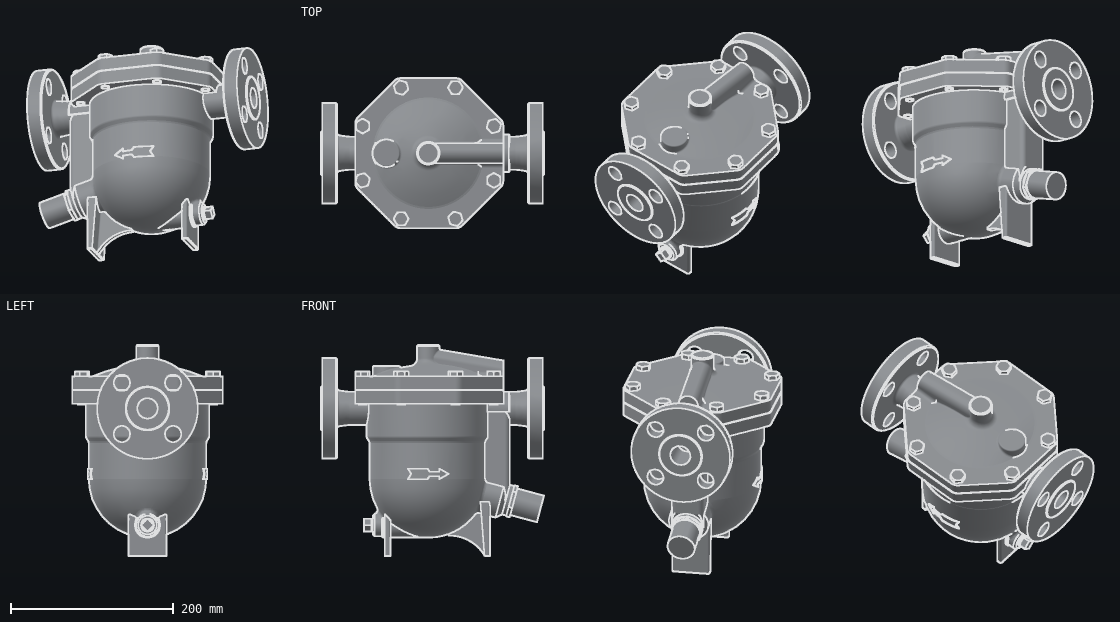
import cadquery as cq
import math


inlet_face_x = -132.0
outlet_face_x = 142.4
top_z = 78.0
foot_z = -182.0

overlap = 1.0

flange_diameter = 124.0
flange_back = 20.0
flange_edge_chamfer = 1.5
raised_face_diameter = 54.0
raised_face_height = 1.4
raised_face_chamfer = 1.0
flange_bolt_circle = 89.0
flange_bolt_hole = 20.0
flange_bolt_count = 4
neck_diameter = 41.0
neck_large_diameter = 44.0
neck_fillet = 3.4
neck_taper_end = 35.0
neck_inner_x = 60.0
bore_diameter = 25.0
bore_depth = 45.0

octagon_apothem = 92.5
inlet_side_apothem = 90.0
octagon_corner_radius = 12.0
lid_top_z = 39.5
joint_z = 22.8
joint_gap = 0.6
joint_inset = 0.4
rim_bottom_z = 5.6

bolt_circle = 174.6
bolt_count = 8
bolt_first_angle = 67.5
bolt_head_across_flats = 16.0
bolt_head_height = 6.0
bolt_head_chamfer = 0.8
bolt_end_diameter = 10.0
bolt_end_length = 1.0

dome_radius = 166.0
dome_edge_radius = 68.5
dome_meet_radius = 67.3
dome_centre_z = lid_top_z - math.sqrt(dome_radius**2 - dome_meet_radius**2)
chimney_diameter = 28.0
blend_margin = 4.0
chimney_fillet = 9.0
chimney_chamfer = 1.5

arm_diameter = 25.0
arm_slope = 9.7
arm_start_z = 62.1
arm_root_fillet = 2.0
arm_foot_radius = 5.7

plug_x = -51.5
plug_diameter = 34.0
plug_top_z = 52.2
plug_edge_fillet = 2.0
plug_foot_fillet = 2.5

upper_radius = 76.0
lower_radius = 72.5
step_top_z = -35.4
step_bottom_z = -41.3
step_fillet = 4.5
sphere_z = -86.5

channel_width = 40.0
channel_x = 100.4
channel_edge_radius = 6.2
channel_crown_width = 46.4
channel_crown_bottom_z = -4.0
channel_crown_chamfer = 1.5

tube_end_x = 138.0
tube_end_z = -123.6
tube_slope = 15.0
tube_diameter = 34.0
boss_diameter = 49.4
boss_end = 50.8
boss_taper_end = 44.0
boss_neck_diameter = 38.0
boss_root_fillet = 5.0
nut_back = 38.5
nut_front = 34.0
nut_across_corners = 40.0
nut_turn = 23.0
tube_length = 85.0

drain_z = -143.4
drain_pipe_diameter = 31.0
drain_pipe_x = -57.0
drain_pipe_chamfer = 1.4
drain_fillet = 5.0
drain_cap_diameter = 28.0
drain_cap_x = -68.2
drain_cap_chamfer = 2.5
plug_collar_diameter = 16.0
plug_collar_x = -70.0
square_diagonal = 16.0
square_end_x = -79.0

foot_width = 47.0
foot_edge_fillet = 2.5
foot_bottom_chamfer = 1.0
inlet_foot_outer_x = -53.7
inlet_foot_inner_x = -46.2
inlet_foot_top_z = -120.0
outlet_foot_outer_x = 76.0
outlet_foot_bottom_x = 69.2
outlet_foot_top_x = 64.0
outlet_foot_top_z = -115.0
rib_fillet = 2.0
rib_thickness = 8.0
rib_start_x = 25.0
rib_start_z = -156.5
rib_arc_radius = 50.0

arrow_height = 1.0
arrow_z = -80.5
arrow_tail_x = -25.0
arrow_notch = 4.0
arrow_tail_end_x = -1.0
arrow_tail_taper = 2.7
arrow_head_x = 13.5
arrow_tip_x = 25.0
arrow_half_width = 6.5
arrow_shaft_half_width = 2.8


def x_cylinder(diameter, start_x, end_x, z=0.0):
    """Round bar along X between two X positions."""
    return (cq.Workplane("YZ", origin=(start_x, 0, z)).circle(diameter / 2)
            .extrude(end_x - start_x))


def revolve_about_z(profile):
    """Turn an XZ profile about the vessel centreline."""
    return profile.close().revolve(360, (0, 0, 0), (0, 1, 0))


def edges_in_box(solid, first, second, half_depth=2 * upper_radius):
    """Edges whose centres lie in a box given by two XZ corners and a half depth along Y."""
    return solid.edges(cq.selectors.BoxSelector((first[0], -half_depth, first[1]),
                                                (second[0], half_depth, second[1])))


def make_vessel():
    """Stepped cylinder closed by a hemisphere."""
    bottom_z = sphere_z - lower_radius
    diagonal = lower_radius * math.sin(math.radians(45))
    profile = (cq.Workplane("XZ").moveTo(0, rim_bottom_z + overlap)
               .lineTo(upper_radius, rim_bottom_z + overlap)
               .lineTo(upper_radius, step_top_z)
               .lineTo(lower_radius, step_bottom_z)
               .lineTo(lower_radius, sphere_z)
               .threePointArc((diagonal, sphere_z - diagonal), (0, bottom_z)))
    corners = edges_in_box(revolve_about_z(profile), (-overlap, step_top_z + overlap),
                           (overlap, step_bottom_z - overlap))
    return corners.filter(lambda edge: edge.geomType() == "CIRCLE").fillet(step_fillet)


def make_octagon(bottom_z, height, inset=0.0):
    """Rounded octagonal plate, cut back a little on the inlet side."""
    side = octagon_apothem - inset
    inlet_side = -(inlet_side_apothem - inset)
    corner = side * math.tan(math.radians(22.5))
    inlet_corner = side * math.sqrt(2) + inlet_side
    outline = [(side, -corner), (side, corner), (corner, side), (-corner, side),
               (inlet_side, inlet_corner), (inlet_side, -inlet_corner),
               (-corner, -side), (corner, -side)]
    return (cq.Workplane("XY", origin=(0, 0, bottom_z)).polyline(outline).close()
            .extrude(height).edges("|Z").fillet(octagon_corner_radius))


def make_rim():
    """Body rim and lid plate with the thin joint groove between them."""
    rim = make_octagon(rim_bottom_z, lid_top_z - rim_bottom_z)
    half_gap = joint_gap / 2
    groove = make_octagon(joint_z - half_gap, joint_gap)
    groove = groove.cut(make_octagon(joint_z - half_gap, joint_gap, joint_inset))
    return rim.cut(groove)


def make_dome():
    """Spherical cover, carried on below the lid surface, that blends into the chimney at its centre."""
    chimney_radius = chimney_diameter / 2
    base_z = lid_top_z - blend_margin
    base_radius = math.sqrt(dome_radius**2 - (base_z - dome_centre_z)**2)
    blend_x = chimney_radius + chimney_fillet
    blend_reach = dome_radius + chimney_fillet
    blend_z = dome_centre_z + math.sqrt(blend_reach**2 - blend_x**2)
    touch_x = blend_x * dome_radius / blend_reach
    touch_z = dome_centre_z + (blend_z - dome_centre_z) * dome_radius / blend_reach
    blend_offset = chimney_fillet * math.sin(math.radians(45))
    blend_mid = (blend_x - blend_offset, blend_z - blend_offset)
    profile = (cq.Workplane("XZ").moveTo(0, base_z)
               .lineTo(base_radius, base_z)
               .threePointArc((dome_meet_radius, lid_top_z), (touch_x, touch_z))
               .threePointArc(blend_mid, (chimney_radius, blend_z))
               .lineTo(chimney_radius, top_z - chimney_chamfer)
               .lineTo(chimney_radius - chimney_chamfer, top_z)
               .lineTo(0, top_z))
    return revolve_about_z(profile)


def make_dome_skirt():
    """Narrow sloping ring between the dome and the flat lid."""
    inner_radius = 2 * dome_meet_radius - dome_edge_radius
    inner_z = dome_centre_z + math.sqrt(dome_radius**2 - inner_radius**2)
    profile = (cq.Workplane("XZ").moveTo(dome_edge_radius, lid_top_z)
               .lineTo(inner_radius, inner_z)
               .lineTo(inner_radius, joint_z + overlap)
               .lineTo(dome_edge_radius, joint_z + overlap))
    return revolve_about_z(profile)


def make_arm():
    """Sloping round-topped arm with straight walls down to the lid."""
    slope = math.radians(arm_slope)
    length = (octagon_apothem + arm_diameter) / math.cos(slope)
    axis = cq.Vector(math.cos(slope), 0, -math.sin(slope))
    tube = cq.Workplane(cq.Solid.makeCylinder(arm_diameter / 2, length, cq.Vector(0, 0, arm_start_z), axis))
    end_z = arm_start_z - octagon_apothem * math.tan(slope)
    walls = (cq.Workplane("XZ", origin=(0, arm_diameter / 2, 0))
             .polyline([(0, joint_z + overlap), (octagon_apothem, joint_z + overlap),
                        (octagon_apothem, end_z), (0, arm_start_z)]).close().extrude(arm_diameter))
    envelope = (cq.Workplane("XY", origin=(0, 0, joint_z + overlap))
                .rect(2 * octagon_apothem, 2 * arm_diameter).extrude(top_z))
    return tube.union(walls).intersect(envelope)


def make_arm_foot():
    """Concave strips that blend the arm walls into the flat lid outside the dome."""
    wall = arm_diameter / 2
    radius = arm_foot_radius
    drop = radius * (1 - math.sin(math.radians(45)))
    strips = cq.Workplane()
    start_x = dome_meet_radius - arm_foot_radius
    for side in (-1, 1):
        strip = (cq.Workplane("YZ", origin=(start_x, 0, 0))
                 .moveTo(0, lid_top_z - overlap)
                 .lineTo(side * (wall + radius), lid_top_z - overlap)
                 .lineTo(side * (wall + radius), lid_top_z)
                 .threePointArc((side * (wall + drop), lid_top_z + drop), (side * wall, lid_top_z + radius))
                 .lineTo(0, lid_top_z + radius).close().extrude(octagon_apothem - start_x))
        strips = strips.add(strip)
    return strips.combine()


def make_lid():
    """Dome, chimney, plug boss and arm, blended together."""
    dome = make_dome()
    plug = (cq.Workplane("XY", origin=(plug_x, 0, joint_z + overlap)).circle(plug_diameter / 2)
            .extrude(plug_top_z - joint_z - overlap).faces(">Z").edges().fillet(plug_edge_fillet))
    lid = dome.union(plug)
    plug_reach = plug_diameter / 2 + overlap
    plug_root = edges_in_box(lid, (plug_x - plug_reach, joint_z + 2 * overlap),
                             (plug_x + plug_reach, plug_top_z - plug_edge_fillet), plug_reach)
    lid = plug_root.fillet(plug_foot_fillet).union(make_arm())
    arm_roots = edges_in_box(lid, (chimney_diameter / 4, joint_z + 2 * overlap),
                             (octagon_apothem - overlap, top_z - arm_foot_radius), arm_diameter)
    lid = arm_roots.filter(lambda edge: edge.geomType() != "LINE").fillet(arm_root_fillet)
    above_lid = (cq.Workplane("XY", origin=(0, 0, joint_z + overlap))
                 .rect(2 * octagon_apothem, 2 * octagon_apothem).extrude(top_z))
    return lid.intersect(above_lid).union(make_dome_skirt()).union(make_arm_foot())


def make_bolts():
    """Hexagon heads above the lid and round bolt ends below the rim."""
    head_corner = bolt_head_across_flats / math.cos(math.radians(30))
    head = cq.Workplane("XY").polygon(6, head_corner).extrude(bolt_head_height)
    cone_tip = head_corner / 2 - bolt_head_chamfer
    crown = (cq.Workplane("XY").circle(cone_tip + bolt_head_height).workplane(offset=bolt_head_height)
             .circle(cone_tip).loft())
    head = head.intersect(crown).translate((bolt_circle / 2, 0, lid_top_z))
    head = head.rotate((bolt_circle / 2, 0, 0), (bolt_circle / 2, 0, 1), -bolt_first_angle)
    end = (cq.Workplane("XY", origin=(bolt_circle / 2, 0, rim_bottom_z - bolt_end_length))
           .circle(bolt_end_diameter / 2).extrude(bolt_end_length + overlap))
    bolts = cq.Workplane()
    for index in range(bolt_count):
        angle = bolt_first_angle + index * 360 / bolt_count
        bolts = bolts.add(head.rotate((0, 0, 0), (0, 0, 1), angle))
        bolts = bolts.add(end.rotate((0, 0, 0), (0, 0, 1), angle))
    return bolts


def make_flange(face_x, inward):
    """Welding-neck flange; inward is +1 or -1 along X."""
    def x_at(distance):
        return face_x + inward * distance

    edge = flange_diameter / 2
    face_edge = raised_face_diameter / 2
    neck_large = neck_large_diameter / 2
    neck = neck_diameter / 2
    neck_mid = neck_fillet * (1 - math.sin(math.radians(45)))
    taper_start = flange_back + neck_fillet
    profile = (cq.Workplane("XZ").moveTo(x_at(0), 0)
               .lineTo(x_at(0), face_edge - raised_face_chamfer)
               .lineTo(x_at(raised_face_chamfer), face_edge)
               .lineTo(x_at(raised_face_height), face_edge)
               .lineTo(x_at(raised_face_height), edge)
               .lineTo(x_at(flange_back - flange_edge_chamfer), edge)
               .lineTo(x_at(flange_back), edge - flange_edge_chamfer)
               .lineTo(x_at(flange_back), neck_large + neck_fillet)
               .threePointArc((x_at(flange_back + neck_mid), neck_large + neck_mid),
                              (x_at(taper_start), neck_large))
               .lineTo(x_at(neck_taper_end), neck)
               .lineTo(-inward * neck_inner_x, neck)
               .lineTo(-inward * neck_inner_x, 0).close())
    flange = profile.revolve(360, (0, 0, 0), (1, 0, 0))
    holes = (cq.Workplane("YZ", origin=(face_x, 0, 0))
             .polarArray(flange_bolt_circle / 2, 45, 360, flange_bolt_count)
             .circle(flange_bolt_hole / 2).extrude(inward * flange_back))
    return flange.cut(holes)


def tube_point(distance):
    """Point on the inclined tube axis, a distance back from its end."""
    slope = math.radians(tube_slope)
    return cq.Vector(tube_end_x - distance * math.cos(slope), 0, tube_end_z + distance * math.sin(slope))


def tube_plane(distance):
    """Plane across the inclined tube, facing its end."""
    slope = math.radians(tube_slope)
    return cq.Plane(tube_point(distance), (0, 1, 0), (math.cos(slope), 0, -math.sin(slope)))


def tube_section(diameter, back, front):
    """Round length of the inclined outlet."""
    return cq.Workplane(tube_plane(back)).circle(diameter / 2).extrude(back - front)


def make_outlet_tube():
    """Tapered boss end, nut and plain tube."""
    taper = (cq.Workplane(tube_plane(boss_end)).circle(boss_diameter / 2)
             .workplane(offset=boss_end - boss_taper_end).circle(boss_neck_diameter / 2).loft())
    neck = tube_section(boss_neck_diameter, boss_end, nut_back)
    nut = (cq.Workplane(tube_plane(nut_back)).transformed(rotate=(0, 0, nut_turn))
           .polygon(6, nut_across_corners).extrude(nut_back - nut_front))
    return taper.union(neck).union(nut).union(tube_section(tube_diameter, boss_end, 0))


def make_channel():
    """Flow channel rising from the outlet boss to the outlet neck."""
    boss_centre = tube_point(boss_taper_end)
    slope = math.tan(math.radians(tube_slope))
    cut_z = boss_centre.z + (channel_x - boss_centre.x) / slope
    inner_x = lower_radius / 2
    block = (cq.Workplane("XZ", origin=(0, channel_width / 2, 0))
             .polyline([(inner_x, 0), (channel_x, 0), (channel_x, tube_end_z),
                        (inner_x, tube_end_z)]).close().extrude(channel_width)
             .edges("|Z and >X").fillet(channel_edge_radius))
    limit = (cq.Workplane("XZ", origin=(0, channel_width, 0))
             .polyline([(inner_x, 0), (channel_x, 0), (channel_x, cut_z),
                        (boss_centre.x, boss_centre.z), (inner_x, boss_centre.z)]).close()
             .extrude(2 * channel_width))
    return block.intersect(limit)


def make_channel_crown():
    """Oval end of the channel around the outlet neck, slightly wider than the neck."""
    crown = (cq.Workplane("YZ").ellipse(channel_crown_width / 2, neck_diameter / 2).extrude(channel_x)
             .faces(">X").edges().chamfer(channel_crown_chamfer))
    envelope = (cq.Workplane("XY", origin=(channel_x / 2, 0, channel_crown_bottom_z))
                .rect(channel_x, channel_crown_width).extrude(neck_diameter))
    return crown.intersect(envelope)


def make_drain():
    """Drain pipe under the vessel, and the collar and square head of its plug."""
    pipe = (x_cylinder(drain_pipe_diameter, drain_pipe_x, 0, drain_z)
            .faces("<X").edges().chamfer(drain_pipe_chamfer))
    collar = x_cylinder(plug_collar_diameter, plug_collar_x, drain_cap_x + overlap, drain_z)
    square = (cq.Workplane("YZ", origin=(square_end_x, 0, drain_z)).polygon(4, square_diagonal)
              .extrude(drain_cap_x - square_end_x))
    return pipe.union(collar).union(square)


def make_inlet_foot():
    """Flat plate foot under the drain boss."""
    foot = (cq.Workplane("XY", origin=(0, 0, foot_z))
            .moveTo((inlet_foot_outer_x + inlet_foot_inner_x) / 2, 0)
            .rect(inlet_foot_inner_x - inlet_foot_outer_x, foot_width)
            .extrude(inlet_foot_top_z - foot_z))
    return foot.edges("|Z").fillet(foot_edge_fillet).faces("<Z").edges().chamfer(foot_bottom_chamfer)


def make_outlet_foot():
    """Tapered plate foot stiffened by a rib with an arched lower edge."""
    plate = (cq.Workplane("XZ", origin=(0, foot_width / 2, 0))
             .polyline([(outlet_foot_outer_x, foot_z), (outlet_foot_outer_x, outlet_foot_top_z),
                        (outlet_foot_top_x, outlet_foot_top_z), (outlet_foot_bottom_x, foot_z)])
             .close().extrude(foot_width))
    plate = plate.edges("|Z and >X").fillet(foot_edge_fillet).faces("<Z").edges().chamfer(foot_bottom_chamfer)
    rib_end = (outlet_foot_bottom_x, foot_z + foot_bottom_chamfer)
    rib = (cq.Workplane("XZ", origin=(0, rib_thickness / 2, 0))
           .moveTo(rib_start_x, rib_start_z)
           .radiusArc(rib_end, rib_arc_radius)
           .lineTo(outlet_foot_outer_x - foot_bottom_chamfer, rib_end[1])
           .lineTo(outlet_foot_outer_x - foot_bottom_chamfer, outlet_foot_top_z)
           .lineTo(rib_start_x, outlet_foot_top_z).close().extrude(rib_thickness))
    foot = plate.union(rib)
    rib_corners = edges_in_box(foot, (outlet_foot_top_x, foot_z + 2 * overlap),
                               (outlet_foot_bottom_x, outlet_foot_top_z - overlap), rib_thickness)
    return rib_corners.fillet(rib_fillet)


def make_arrow(side):
    """Raised flow arrow on the -Y (side -1) or +Y (side +1) face of the vessel."""
    half = arrow_half_width
    shaft = arrow_shaft_half_width
    shaft_start = arrow_tail_end_x + arrow_tail_taper
    upper = [(arrow_tail_x, half), (arrow_tail_end_x, half), (shaft_start, shaft),
             (arrow_head_x, shaft), (arrow_head_x, half)]
    lower = [(x, -z) for x, z in reversed(upper)]
    outline = upper + [(arrow_tip_x, 0)] + lower + [(arrow_tail_x + arrow_notch, 0)]
    arrow = (cq.Workplane("XZ", origin=(0, 0, arrow_z)).polyline(outline).close()
             .extrude(-side * (lower_radius + arrow_height)))
    skin = (cq.Workplane("XY", origin=(0, 0, arrow_z - half)).circle(lower_radius + arrow_height)
            .circle(lower_radius - arrow_height).extrude(2 * half))
    return arrow.intersect(skin)


def make_blended_vessel():
    """Vessel with the outlet boss and drain cap blended into it."""
    body = make_vessel().union(tube_section(boss_diameter, tube_length, boss_end))
    boss_centre = tube_point(tube_length)
    boss_root = edges_in_box(body, (boss_centre.x - boss_diameter / 2, boss_centre.z - boss_diameter),
                             (lower_radius + boss_root_fillet, boss_centre.z + boss_diameter), boss_diameter)
    body = boss_root.filter(lambda edge: edge.geomType() == "BSPLINE").fillet(boss_root_fillet)
    cap = x_cylinder(drain_cap_diameter, drain_cap_x, 0, drain_z)
    body = body.union(cap.faces("<X").edges().chamfer(drain_cap_chamfer))
    drain_root = edges_in_box(body, (drain_cap_x, drain_z - drain_cap_diameter),
                              (-overlap, drain_z + drain_cap_diameter), drain_cap_diameter)
    return drain_root.filter(lambda edge: edge.geomType() == "BSPLINE").fillet(drain_fillet)


def build():
    """Join every piece, then bore both flanges."""
    part = make_blended_vessel()
    for piece in (make_channel(), make_channel_crown(), make_outlet_tube(), make_drain(),
                  make_inlet_foot(), make_outlet_foot(), make_arrow(-1), make_arrow(1),
                  make_rim(), make_lid()):
        part = part.union(piece)
    for bolt in make_bolts().vals():
        part = part.union(cq.Workplane(bolt))
    for face_x, inward in ((inlet_face_x, 1), (outlet_face_x, -1)):
        part = part.union(make_flange(face_x, inward))
    for face_x, inward in ((inlet_face_x, 1), (outlet_face_x, -1)):
        part = part.cut(x_cylinder(bore_diameter, face_x, face_x + inward * bore_depth))
    return part


result = build()